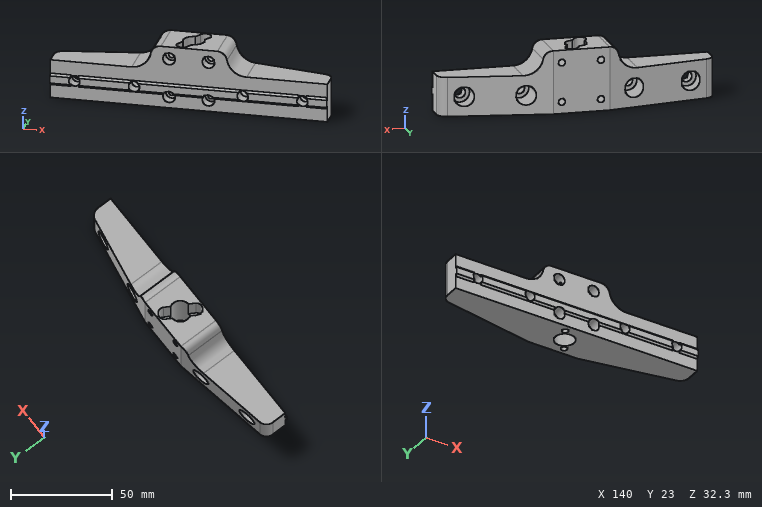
import cadquery as cq
import math

length = 140.0
body_depth = 22.0
total_height = 32.3
wing_height = 20.0

block_half_width = 14.3
crown_radius = 5.0
root_radius = 10.0

taper_angle = math.radians(10)
wing_end_radius = 5.0

rail_height = 1.0
rail_base_width = 6.0
rail_tip_width = 3.8
flank_setback = 0.1
rail_z = 10.0
rail_gap = 4.0

mount_positions = (27.5, 57.5)
mount_diameter = 5.5
mount_head_diameter = 9.8
mount_floor_y = 6.0

screw_diameter = 3.4
screw_head_diameter = 6.2
screw_x = 10.0
screw_heights = (6.0, 26.0)
screw_head_depth = 6.0

bore_diameter = 10.8
bore_y = body_depth / 2
lobe_distance = 8.0
lobe_angle = math.radians(60)
lobe_depth = 16.0


def front_profile():
    """Bell outline made of flat wings and a block joined by two tangent arcs."""
    blend_angle = math.acos(1 - (total_height - wing_height) / (crown_radius + root_radius))

    def crown_point(angle):
        x = block_half_width + crown_radius * math.sin(angle)
        z = total_height - crown_radius * (1 - math.cos(angle))
        return x, z

    joint = crown_point(blend_angle)
    crown_middle = crown_point(blend_angle / 2)
    root_x = block_half_width + (crown_radius + root_radius) * math.sin(blend_angle)
    root_middle = (
        root_x - root_radius * math.sin(blend_angle / 2),
        wing_height + root_radius * (1 - math.cos(blend_angle / 2)),
    )
    half = (
        cq.Workplane("XZ")
        .moveTo(0, 0)
        .lineTo(length / 2, 0)
        .lineTo(length / 2, wing_height)
        .lineTo(root_x, wing_height)
        .threePointArc(root_middle, joint)
        .threePointArc(crown_middle, (block_half_width, total_height))
        .lineTo(0, total_height)
        .close()
        .extrude(-body_depth)
    )
    return half.union(half.mirror("YZ"))


def plan_outline():
    """Plan shape with a tapered back and rounded outer back corners."""
    end_depth = body_depth - (length / 2 - block_half_width) * math.tan(taper_angle)
    return (
        cq.Workplane("XY")
        .polyline([
            (-length / 2, 0),
            (length / 2, 0),
            (length / 2, end_depth),
            (block_half_width, body_depth),
            (-block_half_width, body_depth),
            (-length / 2, end_depth),
        ])
        .close()
        .extrude(total_height)
        .edges("|Z and (<X or >X) and (not <Y)")
        .fillet(wing_end_radius)
    )


def rail():
    """Rail interrupted at the outer holes, its sloped flanks stopping just short of the ends."""
    bar = (
        cq.Workplane("YZ", origin=(flank_setback - length / 2, 0, rail_z))
        .polyline([
            (0, -rail_base_width / 2),
            (-rail_height, -rail_tip_width / 2),
            (-rail_height, rail_tip_width / 2),
            (0, rail_base_width / 2),
        ])
        .close()
        .extrude(length - 2 * flank_setback)
    )
    core = cq.Workplane("XY").box(length, rail_height, rail_tip_width)
    bar = bar.union(core.translate((0, -rail_height / 2, rail_z)))
    for side in (-1, 1):
        gap = cq.Workplane("XY").box(rail_gap, 2 * rail_height, rail_base_width)
        bar = bar.cut(gap.translate((side * mount_positions[-1], -rail_height, rail_z)))
    return bar


def cylinder_y(diameter, x, z, y_start, y_end):
    """Cylinder parallel to Y between two depths."""
    return (
        cq.Workplane("XZ", origin=(x, y_start, z))
        .circle(diameter / 2)
        .extrude(y_start - y_end)
    )


def mount_hole(x):
    """Through hole with a head recess open to the back."""
    hole = cylinder_y(mount_diameter, x, rail_z, -rail_height, body_depth)
    recess = cylinder_y(mount_head_diameter, x, rail_z, mount_floor_y, body_depth)
    return hole.union(recess)


def screw_hole(x, z):
    """Through hole with a head recess open to the front."""
    hole = cylinder_y(screw_diameter, x, z, -rail_height, body_depth)
    recess = cylinder_y(screw_head_diameter, x, z, -rail_height, screw_head_depth)
    return hole.union(recess)


def central_opening():
    """Through bore, slanted recess in the top and a screw hole in each lobe."""
    lobe_x = lobe_distance * math.cos(lobe_angle)
    lobe_y = lobe_distance * math.sin(lobe_angle)
    base = cq.Workplane("XY", origin=(0, bore_y, 0))
    bore = base.circle(bore_diameter / 2).extrude(total_height)
    screws = (
        base.pushPoints([(lobe_x, lobe_y), (-lobe_x, -lobe_y)])
        .circle(screw_diameter / 2)
        .extrude(total_height)
    )
    recess = (
        base.workplane(offset=total_height - lobe_depth)
        .slot2D(2 * lobe_distance + screw_head_diameter, screw_head_diameter, math.degrees(lobe_angle))
        .extrude(lobe_depth)
    )
    return bore.union(screws).union(recess)


result = front_profile().intersect(plan_outline()).union(rail())
for side in (-1, 1):
    for position in mount_positions:
        result = result.cut(mount_hole(side * position))
    for height in screw_heights:
        result = result.cut(screw_hole(side * screw_x, height))
result = result.cut(central_opening())